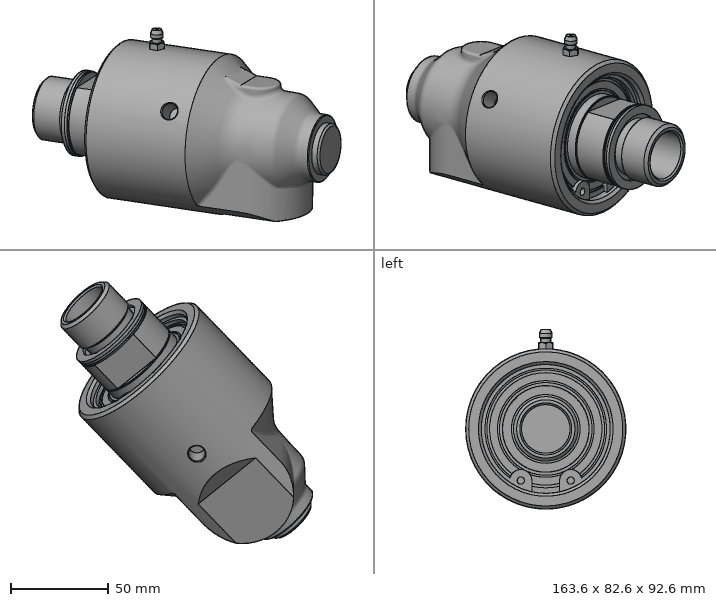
import cadquery as cq


thread_radius = 33.25 / 2
thread_chamfer = 1.6
thread_end = 16.4
thread_runout = 1.2
relief_radius = 30.29 / 2
flange_start = 20.2
flange_radius = 44.65 / 2
flange_relief_radius = 35.4 / 2
flange_relief_depth = 1.7
flange_rim_end = 21.9
flange_rear_radius = 44.5 / 2
flange_end = 23.3
groove_end = 24.3
groove_radius = 43.6 / 2
neck_radius = flange_radius
flat_distance = 18.0
flat_end = 42.0
collar_gap_end = 42.6
collar_gap_radius = 43.6 / 2
seal_collar_radius = flange_radius
bore_radius = 25.0 / 2
bore_chamfer = 0.9
bore_end = 100.0

housing_start = 42.0
housing_end = 100.3
housing_radius = 41.3
housing_chamfer = 1.6

mouth_radius = 34.7
mouth_chamfer = 1.5
recess_wall_radius = mouth_radius - mouth_chamfer
recess_ledge = 45.6
ledge_inner_radius = 31.3
recess_floor = 47.8
ring_groove_outer = 60.73 / 2
ring_groove_inner = 57.91 / 2
ring_groove_depth = 0.8
seal_groove_outer = 49.77 / 2
seal_groove_inner = 47.76 / 2
seal_groove_depth = 0.6
pad_radius = 5.7
pad_offset = 12.85
pad_drop = 26.6
pad_hole_diameter = 3.72
pad_hole_depth = 6.0

cone_end = 114.4
cone_end_radius = 30.1
waist_start = 122.3
waist_radius = 26.95
waist_end = 140.4
waist_end_radius = 26.5
shoulder_x = 143.9
shoulder_radius = 25.4
end_cone_x = 152.0
end_cone_radius = 18.7
collar_start = 155.3
collar_radius = 35.4 / 2
collar_end = 159.4
collar_chamfer = 0.5
plug_radius = 13.5
plug_end = 163.6
plug_chamfer = 1.1

foot_x = 123.8
foot_radius = 26.6
foot_bottom = -36.3
foot_slope_start = 103.4
foot_slope_end = 112.1
foot_fillet = 2.0

boss_radius = 10.2
boss_top = 31.0
boss_slope_end = 116.8
boss_slope_start = 104.0
boss_slope_rise = 4.8
boss_edge_fillet = 1.5
boss_base_fillet = 3.0

hole_x = 88.7
hole_diameter = 8.6
hole_countersink = 9.8
hole_depth = 10.8
hole_count = 3

fitting_x = 64.0
fitting_foot = 39.0
fitting_hex_corners = 8.6
fitting_hex_top = 44.5
fitting_hex_chamfer = 0.6
fitting_neck_radius = 2.6
fitting_neck_top = 46.6
fitting_head_radius = 3.3
fitting_head_bottom = 47.2
fitting_head_top = 49.2
fitting_tip_radius = 2.4
fitting_top = 51.29
fitting_port_diameter = 1.5
fitting_port_depth = 1.0


def turned(profile):
    """Revolve a profile drawn as (x, radius) about the X axis."""
    return profile.close().revolve(360, (0, 0, 0), (1, 0, 0))


def disc(start, end, radius):
    return cq.Workplane("YZ", origin=(start, 0, 0)).circle(radius).extrude(end - start)


def tube(start, end, outer, inner):
    return cq.Workplane("YZ", origin=(start, 0, 0)).circle(outer).circle(inner).extrude(end - start)


def make_nipple():
    nipple = turned(
        cq.Workplane("XY")
        .moveTo(0, 0)
        .lineTo(0, thread_radius - thread_chamfer)
        .lineTo(thread_chamfer, thread_radius)
        .lineTo(thread_end, thread_radius)
        .lineTo(thread_end + thread_runout, relief_radius)
        .lineTo(flange_start + flange_relief_depth, relief_radius)
        .lineTo(flange_start + flange_relief_depth, flange_relief_radius)
        .lineTo(flange_start, flange_relief_radius)
        .lineTo(flange_start, flange_radius)
        .lineTo(flange_rim_end, flange_radius)
        .lineTo(flange_rim_end, flange_rear_radius)
        .lineTo(flange_end, flange_rear_radius)
        .lineTo(flange_end, groove_radius)
        .lineTo(groove_end, groove_radius)
        .lineTo(groove_end, neck_radius)
        .lineTo(flat_end, neck_radius)
        .lineTo(flat_end, collar_gap_radius)
        .lineTo(collar_gap_end, collar_gap_radius)
        .lineTo(collar_gap_end, seal_collar_radius)
        .lineTo(housing_end, seal_collar_radius)
        .lineTo(housing_end, 0)
    )
    flat_cutter = (
        cq.Workplane("XY")
        .box(flat_end - groove_end, 2 * flange_radius, flange_radius, centered=(False, True, False))
        .translate((groove_end, 0, flat_distance))
    )
    return nipple.cut(flat_cutter).cut(flat_cutter.mirror("XY"))


def make_body():
    return turned(
        cq.Workplane("XY")
        .moveTo(housing_start, 0)
        .lineTo(housing_start, housing_radius - housing_chamfer)
        .lineTo(housing_start + housing_chamfer, housing_radius)
        .lineTo(housing_end, housing_radius)
        .lineTo(cone_end, cone_end_radius)
        .tangentArcPoint((waist_start, waist_radius), relative=False)
        .lineTo(waist_end, waist_end_radius)
        .tangentArcPoint((shoulder_x, shoulder_radius), relative=False)
        .lineTo(end_cone_x, end_cone_radius)
        .tangentArcPoint((collar_start, collar_radius), relative=False)
        .lineTo(collar_end - collar_chamfer, collar_radius)
        .lineTo(collar_end, collar_radius - collar_chamfer)
        .lineTo(collar_end, plug_radius)
        .lineTo(plug_end - plug_chamfer, plug_radius)
        .lineTo(plug_end, plug_radius - plug_chamfer)
        .lineTo(plug_end, 0)
    )


def make_foot():
    """Vertical round-ended block, trimmed to the housing cylinder and a flat sole."""
    block = (
        cq.Workplane("XY")
        .moveTo(housing_end, -foot_radius)
        .lineTo(foot_x, -foot_radius)
        .threePointArc((foot_x + foot_radius, 0), (foot_x, foot_radius))
        .lineTo(housing_end, foot_radius)
        .close()
        .extrude(-housing_radius)
    )
    envelope = disc(housing_end, foot_x + foot_radius, housing_radius)
    sole = (
        cq.Workplane("XZ")
        .moveTo(housing_end, 0)
        .lineTo(housing_end, -housing_radius)
        .lineTo(foot_slope_start, -housing_radius)
        .lineTo(foot_slope_end, foot_bottom)
        .lineTo(foot_x + foot_radius, foot_bottom)
        .lineTo(foot_x + foot_radius, 0)
        .close()
        .extrude(foot_radius, both=True)
    )
    return block.intersect(envelope).intersect(sole)


def make_boss():
    """Upright round-ended boss with a sloping ramp up to the cone and a rounded rim."""
    block = (
        cq.Workplane("XY")
        .moveTo(boss_slope_start, -boss_radius)
        .lineTo(foot_x, -boss_radius)
        .threePointArc((foot_x + boss_radius, 0), (foot_x, boss_radius))
        .lineTo(boss_slope_start, boss_radius)
        .close()
        .extrude(housing_radius)
    )
    crown = (
        cq.Workplane("XZ")
        .moveTo(boss_slope_start, 0)
        .lineTo(boss_slope_start, boss_top + boss_slope_rise)
        .lineTo(boss_slope_end, boss_top)
        .lineTo(foot_x + boss_radius, boss_top)
        .lineTo(foot_x + boss_radius, 0)
        .close()
        .extrude(boss_radius, both=True)
    )
    boss = block.intersect(crown)
    margin = 0.1
    on_crown = cq.selectors.BoxSelector(
        (boss_slope_start + margin, -boss_radius - margin, boss_top - margin),
        (foot_x + boss_radius, boss_radius + margin, housing_radius),
    )
    return boss.edges("not |Y").edges(on_crown).fillet(boss_edge_fillet)


def seam_edges(joined, first, second):
    """Edges of the joined solid that lie where the two original solids meet."""
    tolerance = 1e-3
    seams = []
    for edge in joined.edges().vals():
        middle = cq.Vertex.makeVertex(*edge.positionAt(0.5).toTuple())
        if middle.distance(first.val()) < tolerance and middle.distance(second.val()) < tolerance:
            seams.append(edge)
    return seams


def add_foot(body):
    foot = make_foot()
    joined = body.union(foot)
    return joined.newObject(seam_edges(joined, body, foot)).fillet(foot_fillet)


def add_boss(body):
    boss = make_boss()
    joined = body.union(boss)
    return joined.newObject(seam_edges(joined, body, boss)).fillet(boss_base_fillet)


def cut_radial_holes(body):
    """Blind countersunk holes, equally spaced around the housing, one straight down."""
    countersink_depth = (hole_countersink - hole_diameter) / 2
    for index in range(hole_count):
        hole = (
            cq.Workplane("XZ")
            .moveTo(0, housing_radius - hole_depth)
            .lineTo(hole_diameter / 2, housing_radius - hole_depth)
            .lineTo(hole_diameter / 2, housing_radius - countersink_depth)
            .lineTo(hole_countersink / 2, housing_radius)
            .lineTo(hole_countersink / 2, housing_radius + hole_countersink)
            .lineTo(0, housing_radius + hole_countersink)
            .close()
            .revolve(360, (0, 0, 0), (0, 1, 0))
            .translate((hole_x, 0, 0))
        )
        angle = 180 + index * 360 / hole_count
        body = body.cut(hole.rotate((0, 0, 0), (1, 0, 0), angle))
    return body


def cut_recess(body):
    mouth = turned(
        cq.Workplane("XY")
        .moveTo(housing_start, 0)
        .lineTo(housing_start, mouth_radius)
        .lineTo(housing_start + mouth_chamfer, recess_wall_radius)
        .lineTo(recess_ledge, recess_wall_radius)
        .lineTo(recess_ledge, ledge_inner_radius)
        .lineTo(recess_floor, ledge_inner_radius)
        .lineTo(recess_floor, 0)
    )
    body = body.cut(mouth)
    body = body.cut(
        tube(recess_floor, recess_floor + ring_groove_depth, ring_groove_outer, ring_groove_inner)
    )
    return body.cut(
        tube(recess_floor, recess_floor + seal_groove_depth, seal_groove_outer, seal_groove_inner)
    )


def add_pads(body):
    """Two drilled pads level with the recess ledge, with the ledge cleared between them."""
    pad_depth = recess_floor + ring_groove_depth - recess_ledge
    recess = disc(housing_start, housing_end, recess_wall_radius)
    pad_face = cq.Workplane("YZ", origin=(recess_ledge, 0, -pad_drop))
    gap = (
        pad_face.center(0, -recess_wall_radius / 2)
        .rect(2 * (pad_offset - pad_radius), recess_wall_radius)
        .extrude(recess_floor - recess_ledge)
    )
    body = body.cut(gap.intersect(recess))
    for y in (pad_offset, -pad_offset):
        pad = pad_face.center(y, 0).circle(pad_radius).extrude(pad_depth)
        leg = (
            pad_face.center(y, -recess_wall_radius / 2)
            .rect(2 * pad_radius, recess_wall_radius)
            .extrude(pad_depth)
        )
        hole = pad_face.center(y, 0).circle(pad_hole_diameter / 2).extrude(pad_hole_depth)
        body = body.union(pad.union(leg).intersect(recess)).cut(hole)
    return body


def make_fitting():
    corner_radius = fitting_hex_corners / 2
    hexagon = (
        cq.Workplane("XY", origin=(0, 0, fitting_foot))
        .polygon(6, fitting_hex_corners)
        .extrude(fitting_hex_top - fitting_foot)
    )
    chamfered_blank = (
        cq.Workplane("XY", origin=(0, 0, fitting_foot))
        .circle(corner_radius)
        .extrude(fitting_hex_top - fitting_foot)
        .faces(">Z")
        .chamfer(fitting_hex_chamfer)
    )
    stem = (
        cq.Workplane("XZ")
        .moveTo(0, fitting_foot)
        .lineTo(fitting_neck_radius, fitting_foot)
        .lineTo(fitting_neck_radius, fitting_neck_top)
        .lineTo(fitting_head_radius, fitting_head_bottom)
        .lineTo(fitting_head_radius, fitting_head_top)
        .lineTo(fitting_tip_radius, fitting_top)
        .lineTo(0, fitting_top)
        .close()
        .revolve(360, (0, 0, 0), (0, 1, 0))
    )
    fitting = hexagon.intersect(chamfered_blank).union(stem)
    fitting = fitting.faces(">Z").workplane().hole(fitting_port_diameter, fitting_port_depth)
    return fitting.translate((fitting_x, 0, 0))


def make_bore():
    return turned(
        cq.Workplane("XY")
        .moveTo(0, 0)
        .lineTo(0, bore_radius + bore_chamfer)
        .lineTo(bore_chamfer, bore_radius)
        .lineTo(bore_end, bore_radius)
        .lineTo(bore_end, 0)
    )


housing = add_boss(add_foot(make_body()))
housing = cut_radial_holes(add_pads(cut_recess(housing)))
result = housing.union(make_nipple()).cut(make_bore()).union(make_fitting())